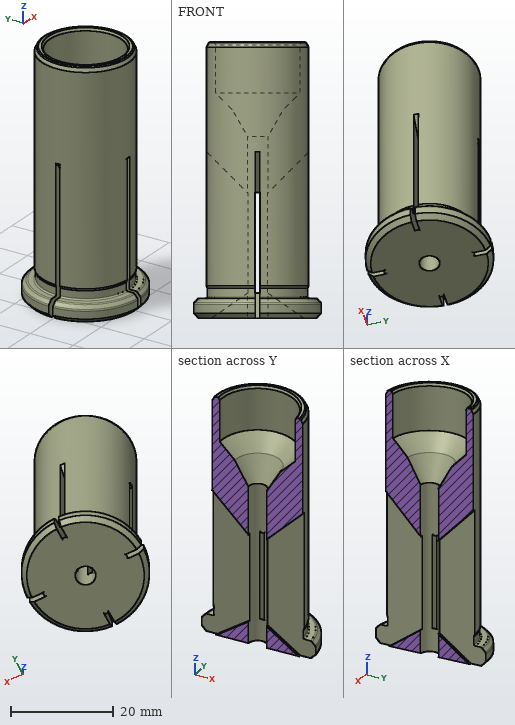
import cadquery as cq
import math

length = 54.0
flange_radius = 25.0 / 2
body_radius = 20.0 / 2
neck_radius = 9.85

flange_height = 3.95
flange_bottom_chamfer = 1.0
flange_top_chamfer = 0.95
flange_edge_round = 0.5
neck_fillet = 0.3
neck_top = 5.9
neck_taper_height = 0.5

rim_chamfer_width = 0.45
rim_chamfer_height = 1.0
rim_round_width = 0.3
rim_round_height = 0.2
bore_chamfer_width = 0.3
bore_chamfer_height = 0.55

bore_radius = 16.5 / 2
seat_radius = 10.0 / 2
hole_radius = 4.0 / 2
bore_floor = 44.05
seat_slope = 60
seat_top = bore_floor - (bore_radius - seat_radius)
seat_bottom = seat_top - (seat_radius - hole_radius) * math.tan(math.radians(seat_slope))

slot_width = 0.95
slot_reach = flange_radius + 0.55
slot_top = 32.55
slot_top_inside = slot_top - (body_radius - hole_radius)
slot_floor_height = 4.95
slot_floor_radius = 9.1


def make_sleeve():
    """Revolve the outer outline of the flanged sleeve."""
    outline = (
        cq.Workplane("XZ")
        .moveTo(0, 0)
        .lineTo(flange_radius - flange_bottom_chamfer, 0)
        .lineTo(flange_radius, flange_bottom_chamfer)
        .lineTo(flange_radius, flange_height - flange_top_chamfer)
        .lineTo(flange_radius - flange_top_chamfer, flange_height)
        .lineTo(neck_radius + neck_fillet, flange_height)
        .radiusArc((neck_radius, flange_height + neck_fillet), neck_fillet)
        .lineTo(neck_radius, neck_top)
        .lineTo(body_radius, neck_top + neck_taper_height)
        .lineTo(body_radius, length - rim_chamfer_height)
        .lineTo(body_radius - rim_chamfer_width, length - rim_round_height)
        .lineTo(body_radius - rim_chamfer_width - rim_round_width, length)
        .lineTo(0, length)
        .close()
    )
    sleeve = outline.revolve(360, (0, 0, 0), (0, 1, 0))
    chamfer_middle = (
        flange_radius - flange_top_chamfer / 2,
        0,
        flange_height - flange_top_chamfer / 2,
    )
    chamfer_face = sleeve.faces("%CONE").faces(cq.selectors.NearestToPointSelector(chamfer_middle))
    return chamfer_face.edges("%CIRCLE").fillet(flange_edge_round)


def make_bore():
    """Wide bore with two conical steps leading to a through hole."""
    outline = (
        cq.Workplane("XZ")
        .moveTo(0, 0)
        .lineTo(hole_radius, 0)
        .lineTo(hole_radius, seat_bottom)
        .lineTo(seat_radius, seat_top)
        .lineTo(bore_radius, bore_floor)
        .lineTo(bore_radius, length - bore_chamfer_height)
        .lineTo(bore_radius + bore_chamfer_width, length)
        .lineTo(0, length)
        .close()
    )
    return outline.revolve(360, (0, 0, 0), (0, 1, 0))


def make_slot(angle):
    """One radial slot whose ends slope toward each other going inward."""
    slot = (
        cq.Workplane("XZ")
        .moveTo(slot_reach, 0)
        .lineTo(slot_reach, slot_top)
        .lineTo(body_radius, slot_top)
        .lineTo(hole_radius, slot_top_inside)
        .lineTo(0, slot_top_inside)
        .lineTo(0, slot_floor_height)
        .lineTo(hole_radius, slot_floor_height)
        .lineTo(slot_floor_radius, 0)
        .close()
        .extrude(slot_width / 2, both=True)
    )
    return slot.rotate((0, 0, 0), (0, 0, 1), angle)


result = make_sleeve().cut(make_bore())
for angle in (0, 90, 180, 270):
    result = result.cut(make_slot(angle))